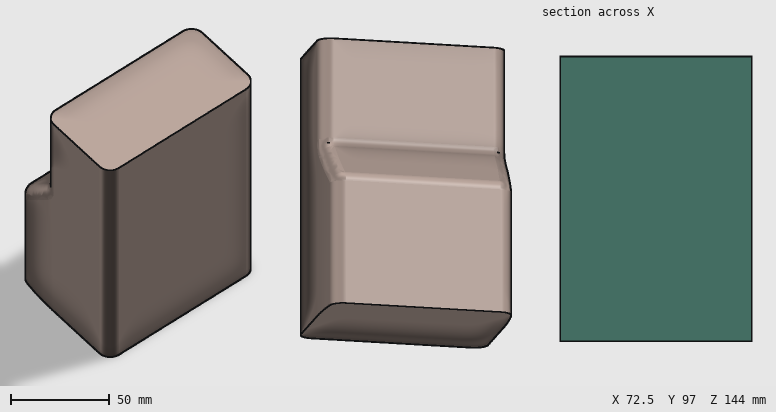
import cadquery as cq
import math

depth = 72.5
width = 97.0
height = 144.0

setback = 22.2
shoulder_bottom = 67.0
shoulder_top = shoulder_bottom + setback

curve_length = 28.0
curve_radius = 165.0
curve_angle = math.asin(curve_length / curve_radius)


def curve_inset(angle):
    """Distance of the curved side from the flat side's plane, at an angle along its arc."""
    return curve_radius * (1 - math.cos(angle))


edge_radius = 7.0

back_x = depth / 2
front_x = -depth / 2
upper_front_x = front_x + setback
curve_start_x = front_x + curve_length
curve_mid_x = curve_start_x - curve_radius * math.sin(curve_angle / 2)
side_y = width / 2
curve_mid_y = side_y - curve_inset(curve_angle / 2)
front_side_y = side_y - curve_inset(curve_angle)


def make_plan_prism():
    """Full-height block with the sides curving inward toward the front."""
    return (
        cq.Workplane("XY")
        .moveTo(back_x, -side_y)
        .lineTo(back_x, side_y)
        .lineTo(curve_start_x, side_y)
        .threePointArc((curve_mid_x, curve_mid_y), (front_x, front_side_y))
        .lineTo(front_x, -front_side_y)
        .threePointArc((curve_mid_x, -curve_mid_y), (curve_start_x, -side_y))
        .lineTo(back_x, -side_y)
        .close()
        .extrude(height)
    )


def make_side_prism():
    """Stepped side profile, extruded over the full width, with the inner shoulder corner rounded."""
    profile = [
        (back_x, 0),
        (back_x, height),
        (upper_front_x, height),
        (upper_front_x, shoulder_top),
        (front_x, shoulder_bottom),
        (front_x, 0),
    ]
    prism = cq.Workplane("XZ").polyline(profile).close().extrude(side_y, both=True)
    inner_corner = cq.selectors.NearestToPointSelector((upper_front_x, 0, shoulder_top))
    return prism.edges(inner_corner).fillet(edge_radius)


def edges_through(body, points):
    """Select the edges of the body whose centres lie nearest the given points."""
    picked = body.newObject([])
    for point in points:
        picked = picked.add(body.edges(cq.selectors.NearestToPointSelector(point)))
    return picked


def round_edges(body):
    """Round the back corners, the front corners of both levels and the shoulder's outer edge."""
    shoulder_mid_x = (front_x + upper_front_x) / 2
    shoulder_mid_z = (shoulder_bottom + shoulder_top) / 2
    points = [(front_x, 0, shoulder_bottom)]
    for side in (-1, 1):
        points.append((back_x, side * side_y, height / 2))
        points.append((front_x, side * front_side_y, shoulder_bottom / 2))
        points.append((shoulder_mid_x, side * side_y, shoulder_mid_z))
        points.append((upper_front_x, side * side_y, (height + shoulder_top) / 2))
    return edges_through(body, points).fillet(edge_radius)


result = round_edges(make_side_prism().intersect(make_plan_prism()))